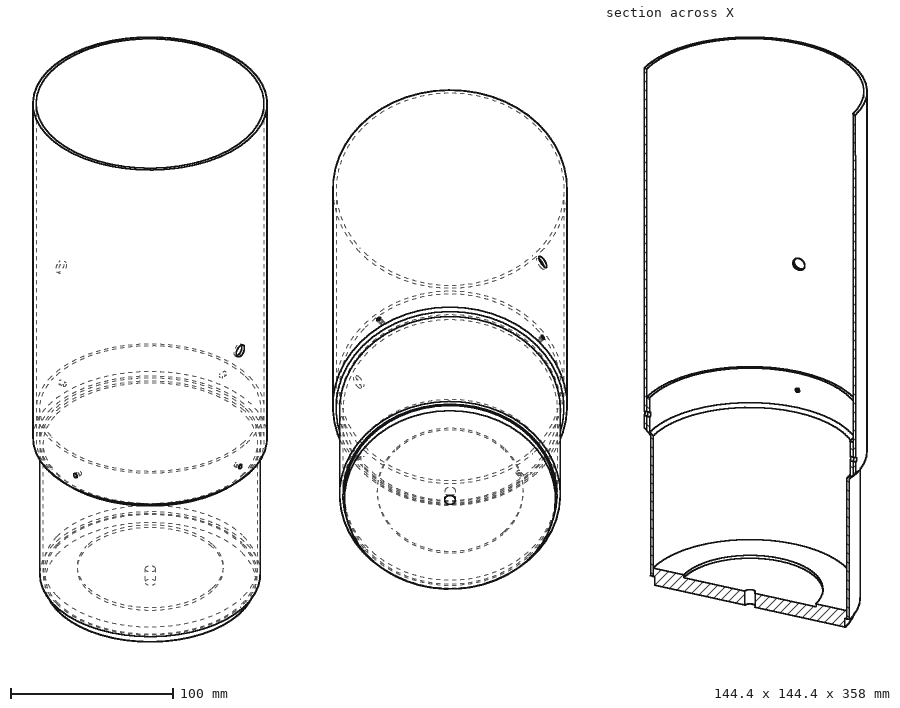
import cadquery as cq

WALL = 2.0
TOTAL_HEIGHT = 358.0
SCREW_HOLE_DIAMETER = 2.8
SCREW_HOLE_Z = 118.0

TUBE_DIAMETER = 144.4
TUBE_BORE = TUBE_DIAMETER - 2 * WALL
CABLE_HOLE_DIAMETER = 8.0
CABLE_HOLE_Z = 204.6

COLLAR_BORE = TUBE_BORE - 2 * WALL
BARREL_DIAMETER = 136.0
BARREL_BORE = BARREL_DIAMETER - 2 * WALL
BARREL_BOTTOM_Z = 6.0
TAPER_TOP_Z = 106.0
TAPER_BOTTOM_Z = TAPER_TOP_Z - (TUBE_BORE - BARREL_DIAMETER) / 2
COLLAR_TOP_Z = 2 * SCREW_HOLE_Z - TAPER_TOP_Z

SPIGOT_DIAMETER = 130.06
CAP_TOP_Z = 12.0
RECESS_DIAMETER = 90.0
RECESS_DEPTH = 2.0
CENTRE_HOLE_DIAMETER = 6.6


def cylinder(diameter, bottom_z, top_z):
    """Solid cylinder on the Z axis between two heights."""
    return cq.Workplane("XY").workplane(offset=bottom_z).circle(diameter / 2).extrude(top_z - bottom_z)


def revolve_profile(profile):
    """Turn a closed outline of (radius, height) points about the Z axis."""
    return cq.Workplane("XZ").polyline(profile).close().revolve(360, (0, 0, 0), (0, 1, 0))


def cross_pin(plane, diameter, height):
    """Horizontal cutter that passes through both sides of the assembly."""
    return (
        cq.Workplane(plane)
        .center(0, height)
        .circle(diameter / 2)
        .extrude(TUBE_DIAMETER, both=True)
    )


def drill_screw_holes(body):
    """Four radial holes, on the +X, -X, +Y and -Y sides."""
    for plane in ("XZ", "YZ"):
        body = body.cut(cross_pin(plane, SCREW_HOLE_DIAMETER, SCREW_HOLE_Z))
    return body


def make_upper_tube():
    """Plain tube whose lower end is bevelled across the full wall, in line with the taper below it."""
    outer_radius = TUBE_DIAMETER / 2
    bore_radius = TUBE_BORE / 2
    tube = revolve_profile([
        (bore_radius, TAPER_TOP_Z),
        (outer_radius, TAPER_TOP_Z + WALL),
        (outer_radius, TOTAL_HEIGHT),
        (bore_radius, TOTAL_HEIGHT),
    ])
    tube = tube.cut(cross_pin("YZ", CABLE_HOLE_DIAMETER, CABLE_HOLE_Z))
    return drill_screw_holes(tube)


def make_lower_tube():
    """Collar, taper and barrel formed from one tube."""
    tube = revolve_profile([
        (BARREL_BORE / 2, BARREL_BOTTOM_Z),
        (BARREL_DIAMETER / 2, BARREL_BOTTOM_Z),
        (BARREL_DIAMETER / 2, TAPER_BOTTOM_Z),
        (TUBE_BORE / 2, TAPER_TOP_Z),
        (TUBE_BORE / 2, COLLAR_TOP_Z),
        (COLLAR_BORE / 2, COLLAR_TOP_Z),
        (COLLAR_BORE / 2, TAPER_TOP_Z),
        (BARREL_BORE / 2, TAPER_BOTTOM_Z),
    ])
    return drill_screw_holes(tube)


def make_end_cap():
    """Stepped plug with a shallow round recess and a central through hole."""
    spigot = cylinder(SPIGOT_DIAMETER, 0, BARREL_BOTTOM_Z)
    plug = cylinder(BARREL_BORE, BARREL_BOTTOM_Z, CAP_TOP_Z)
    recess = cylinder(RECESS_DIAMETER, CAP_TOP_Z - RECESS_DEPTH, CAP_TOP_Z)
    centre_hole = cylinder(CENTRE_HOLE_DIAMETER, 0, CAP_TOP_Z)
    return spigot.union(plug).cut(recess).cut(centre_hole)


upper_tube = make_upper_tube()
lower_tube = make_lower_tube()
end_cap = make_end_cap()

result = cq.Compound.makeCompound([upper_tube.val(), lower_tube.val(), end_cap.val()])